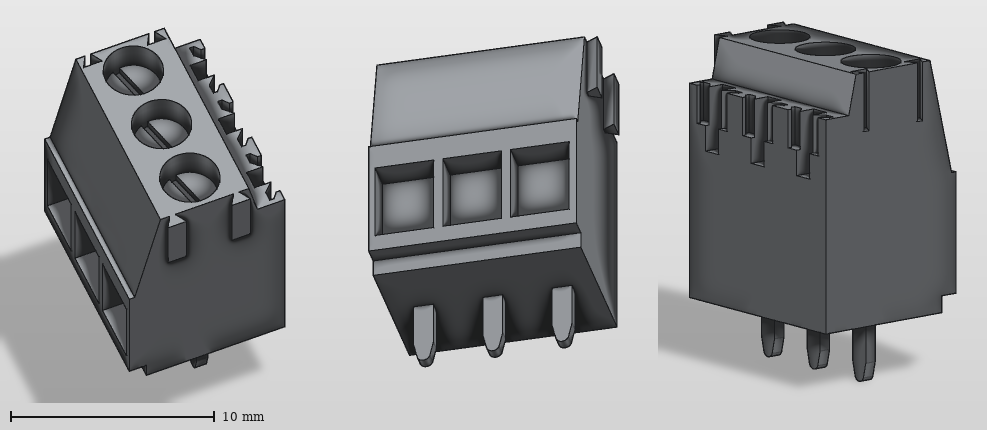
import cadquery as cq


terminal_count = 3
pitch = 3.5

width = 10.5
depth = 8.3
height = 12.8
left_side = -width / 2
right_side = width / 2
foot_setback = 0.91
foot_height = 0.85
front_ledge_height = 6.96
front_ledge_depth = 0.29
top_front_y = 1.66
top_back_y = 6.38
shelf_front_y = 6.85
shelf_height = 10.78

opening_width = 2.96
opening_height = 3.95
opening_bottom = 1.71
opening_depth = 1.5
opening_pitch = 3.42
opening_row_shift = -0.02

screw_y = 3.98
screw_hole_diameter = 2.96
screw_diameter = 2.78
screw_top_recess = 1.5
screw_head_height = 0.8
slot_width = 0.4
slot_depth = 0.4
slot_angle = 14.5

dovetail_reach = 0.6
dovetail_neck_width = 0.3
dovetail_wide_width = 1.0
dovetail_length = 2.96
dovetail_y_places = [2.3, 5.71]

label_slot_width = 1.0
label_slot_length = 1.07
label_slot_depth = 3.2
claw_depth = 1.92
claw_mouth_half_width = 1.15
claw_mouth_length = 0.2
claw_tip_half_width = 1.47
claw_tip_start = 0.46
claw_length = 0.69
claw_inner_half_width = 0.98

pin_y = 4.43
pin_width = 1.0
pin_thickness = 0.6
pin_length = 3.2
pin_straight_length = 2.2
pin_nose_length = 0.22
pin_nose_width = 0.64


def row_places(spacing, middle=0.0):
    """X places of one row of features, spread evenly about its middle."""
    return [middle + (i - (terminal_count - 1) / 2) * spacing for i in range(terminal_count)]


def box(x_size, y_size, z_size, x, y, z):
    """Box centred on x, starting at y and z."""
    return cq.Workplane("XY").box(x_size, y_size, z_size, centered=(True, False, False)).translate((x, y, z))


def housing_block():
    """Side profile extruded across the whole width."""
    profile = [
        (foot_setback, 0),
        (depth, 0),
        (depth, shelf_height),
        (shelf_front_y, shelf_height),
        (top_back_y, height),
        (top_front_y, height),
        (front_ledge_depth, front_ledge_height),
        (0, front_ledge_height),
        (0, foot_height),
        (foot_setback, foot_height),
    ]
    return cq.Workplane("YZ", origin=(left_side, 0, 0)).polyline(profile).close().extrude(width)


def dovetail(side_x, y):
    """Upright dovetail that starts at side_x and widens toward +X."""
    outline = [
        (side_x, y - dovetail_neck_width / 2),
        (side_x + dovetail_reach, y - dovetail_wide_width / 2),
        (side_x + dovetail_reach, y + dovetail_wide_width / 2),
        (side_x, y + dovetail_neck_width / 2),
    ]
    plane = cq.Workplane("XY", origin=(0, 0, height - dovetail_length))
    return plane.polyline(outline).close().extrude(dovetail_length)


def label_slot(x):
    """Straight slot at the rear edge."""
    return box(
        label_slot_width, label_slot_length, label_slot_depth,
        x, depth - label_slot_length, shelf_height - label_slot_depth,
    )


def label_claw(x, side):
    """Hooked recess beside a label slot; side is -1 or +1."""
    slot_edge = label_slot_width / 2
    slant_run = claw_inner_half_width - slot_edge
    outline = [
        (slot_edge, 0),
        (claw_mouth_half_width, 0),
        (claw_mouth_half_width, claw_mouth_length),
        (claw_tip_half_width, claw_tip_start),
        (claw_tip_half_width, claw_length),
        (claw_inner_half_width, claw_length),
        (slot_edge, claw_length - slant_run),
    ]
    points = [(x + side * across, depth - inward) for across, inward in outline]
    plane = cq.Workplane("XY", origin=(0, 0, shelf_height - claw_depth))
    return plane.polyline(points).close().extrude(claw_depth)


def screw_hole(x):
    """Blind access hole whose floor carries the screw head."""
    hole_depth = screw_top_recess + screw_head_height
    plane = cq.Workplane("XY", origin=(x, screw_y, height - hole_depth))
    return plane.circle(screw_hole_diameter / 2).extrude(hole_depth)


def make_housing():
    housing = housing_block()
    for x in row_places(opening_pitch, opening_row_shift):
        housing = housing.cut(box(opening_width, opening_depth, opening_height, x, 0, opening_bottom))
    for x in row_places(pitch):
        housing = housing.cut(screw_hole(x))
        housing = housing.cut(label_slot(x))
        for side in (-1, 1):
            housing = housing.cut(label_claw(x, side))
    for y in dovetail_y_places:
        housing = housing.cut(dovetail(left_side, y))
        housing = housing.union(dovetail(right_side, y))
    return housing


def make_screw(x):
    """Slotted screw head standing on the floor of its access hole."""
    head_top = height - screw_top_recess
    head = (
        cq.Workplane("XY", origin=(x, screw_y, head_top - screw_head_height))
        .circle(screw_diameter / 2)
        .extrude(screw_head_height)
    )
    slot = (
        cq.Workplane("XY")
        .box(2 * screw_diameter, slot_width, slot_depth, centered=(True, True, False))
        .rotate((0, 0, 0), (0, 0, 1), slot_angle)
        .translate((x, screw_y, head_top - slot_depth))
    )
    return head.cut(slot)


def make_pin(x):
    """Flat pin under the housing with a tapered, rounded end."""
    nose_z = pin_nose_length - pin_length
    return (
        cq.Workplane("XZ", origin=(x, pin_y + pin_thickness / 2, 0))
        .moveTo(-pin_width / 2, 0)
        .lineTo(-pin_width / 2, -pin_straight_length)
        .lineTo(-pin_nose_width / 2, nose_z)
        .threePointArc((0, -pin_length), (pin_nose_width / 2, nose_z))
        .lineTo(pin_width / 2, -pin_straight_length)
        .lineTo(pin_width / 2, 0)
        .close()
        .extrude(pin_thickness)
    )


housing = make_housing()
screws = [make_screw(x) for x in row_places(pitch)]
pins = [make_pin(x) for x in row_places(pitch)]

result = cq.Compound.makeCompound([housing.val(), *[body.val() for body in screws + pins]])